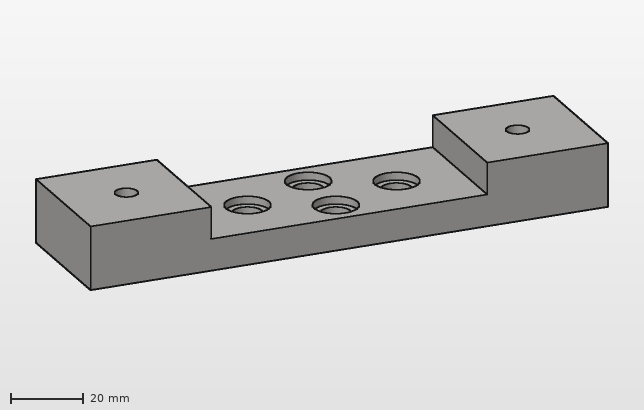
import cadquery as cq

width = 38.1
length = 155.6
height = 19.0

recess_length = 83.0
floor_height = height / 2

end_hole_diameter = 6.5
end_hole_offset = 58.8

bolt_diameter = 8.7
counterbore_diameter = 12.9
counterbore_depth = 2.3
bolt_offset_x = 9.6
bolt_offset_y = 22.4


def make_body():
    """Flat bar with a full-width recess across the middle of its top."""
    bar = cq.Workplane("XY").box(width, length, height, centered=(True, True, False))
    recess = (
        cq.Workplane("XY", origin=(0, 0, floor_height))
        .box(width, recess_length, height - floor_height, centered=(True, True, False))
    )
    return bar.cut(recess)


def cut_end_holes(body):
    """Drill through the middle of both end blocks."""
    return (
        body.copyWorkplane(cq.Workplane("XY", origin=(0, 0, height)))
        .pushPoints([(0, -end_hole_offset), (0, end_hole_offset)])
        .hole(end_hole_diameter, height)
    )


def cut_bolt_holes(body):
    """Drill and counterbore the four holes from the recess floor."""
    points = [(-bolt_offset_x, 0), (bolt_offset_x, 0), (0, -bolt_offset_y), (0, bolt_offset_y)]
    return (
        body.copyWorkplane(cq.Workplane("XY", origin=(0, 0, floor_height)))
        .pushPoints(points)
        .cboreHole(bolt_diameter, counterbore_diameter, counterbore_depth, floor_height)
    )


result = cut_bolt_holes(cut_end_holes(make_body()))